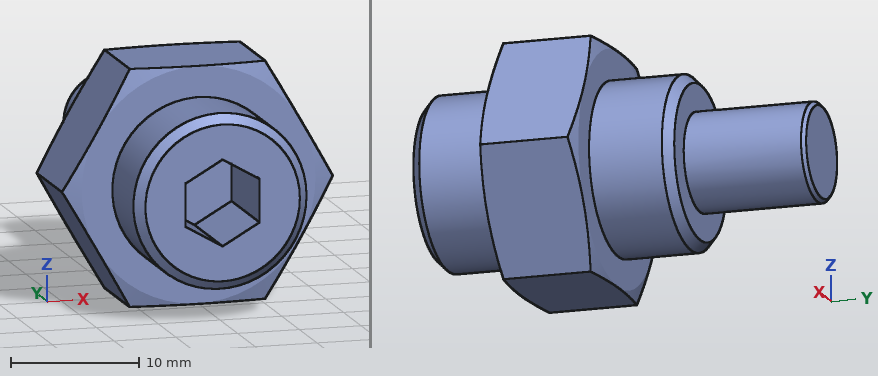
import cadquery as cq
import math

HEXAGON_SIDES = 6
HALF_SIDE_ANGLE = 180 / HEXAGON_SIDES

overall_length = 31.5
thread_diameter = 14.02
thread_length = 21.5
thread_chamfer = 0.75
pin_diameter = 8.0
pin_chamfer = 0.3
socket_across_flats = 6.0
socket_depth = 8.0

nut_across_flats = 19.0
nut_thickness = 8.0
nut_chamfer_angle = 15.0
nut_face_diameter = nut_across_flats - 0.05


def corner_diameter(across_flats):
    """Diameter of the circle through the corners of a hexagon."""
    return across_flats / math.cos(math.radians(HALF_SIDE_ANGLE))


def along_y(start):
    """Workplane normal to Y at the given position, extruding towards +Y."""
    return cq.Workplane(cq.Plane(origin=(0, start, 0), xDir=(1, 0, 0), normal=(0, 1, 0)))


def make_screw():
    thread = along_y(0).circle(thread_diameter / 2).extrude(thread_length)
    thread = thread.edges("%CIRCLE").chamfer(thread_chamfer)

    pin = along_y(thread_length).circle(pin_diameter / 2).extrude(overall_length - thread_length)
    pin = pin.faces(">Y").chamfer(pin_chamfer)

    socket = along_y(0).polygon(HEXAGON_SIDES, corner_diameter(socket_across_flats)).extrude(socket_depth)
    socket = socket.rotate((0, 0, 0), (0, 1, 0), HALF_SIDE_ANGLE)
    return thread.union(pin).cut(socket)


def make_nut():
    front = (thread_length - nut_thickness) / 2
    back = front + nut_thickness
    corner_radius = corner_diameter(nut_across_flats) / 2
    face_radius = nut_face_diameter / 2
    chamfer_height = (corner_radius - face_radius) * math.tan(math.radians(nut_chamfer_angle))

    hexagon = along_y(front).polygon(HEXAGON_SIDES, 2 * corner_radius).extrude(nut_thickness)

    envelope = (
        cq.Workplane("XY")
        .polyline([
            (0, front),
            (face_radius, front),
            (corner_radius, front + chamfer_height),
            (corner_radius, back - chamfer_height),
            (face_radius, back),
            (0, back),
        ])
        .close()
        .revolve(360, (0, 0, 0), (0, 1, 0))
    )
    bore = along_y(front).circle(thread_diameter / 2).extrude(nut_thickness)
    return hexagon.intersect(envelope).cut(bore)


screw = make_screw()
nut = make_nut()
result = cq.Compound.makeCompound([screw.val(), nut.val()])